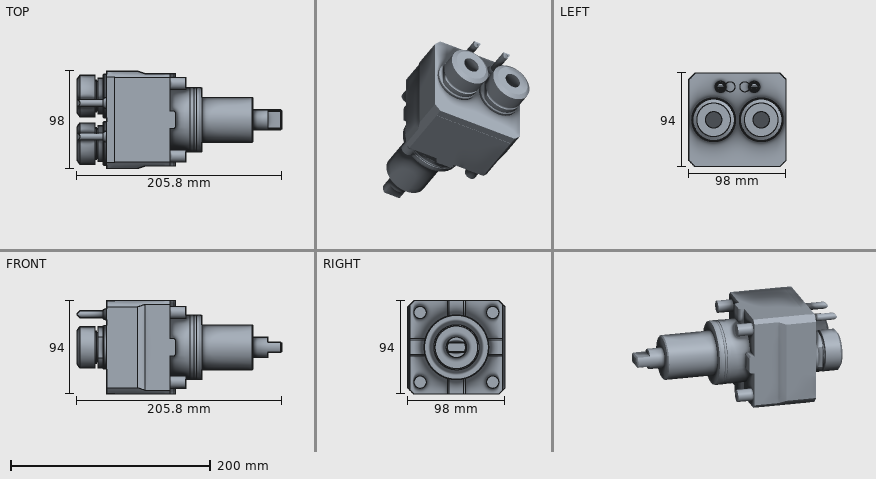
import cadquery as cq

length = 205.8

block_front = 29.8
block_rear = 93.6
block_width = 98.0
block_height = 94.0
block_chamfer = 6.4
side_step = 2.5
step_start = 61.0
step_end = 68.3
relief_end = 37.9
relief_depth = 0.2

key_width = 18.0
key_height = 5.4
key_chamfer = 1.6

screw_diameter = 12.3
screw_end = 109.3
screw_y = 36.5
screw_z = 35.0

flange_diameter = 65.0
flange_end = 125.5
pilot_end = 113.5
pilot_diameter = 64.6
seal_start = 117.3
seal_width = 2.9
flange_lead_in = 1.9
flange_lead_drop = 0.5

shank_diameter = 45.3
shank_end = 177.0
shank_chamfer = 1.2
drive_diameter = 20.5
tang_start = 191.8
tang_thickness = 10.7
tang_edge_chamfer = 0.6
tang_end_chamfer = 1.2

spindle_y = 23.9
nut_diameter = 41.8
nut_end = 18.3
nut_face_diameter = 33.8
nut_chamfer_length = 2.9
neck_diameter = 32.5
neck_step = 19.5
inner_neck_diameter = 29.8
disc_start = 21.0
disc_flats = 36.0
collar_start = 26.3
collar_diameter = 44.0
collar_chamfer = 0.8
bore_diameter = 16.5

pipe_y = 16.9
plug_y = 7.5
coolant_z = 33.1
pipe_diameter = 7.2
pipe_tip_height = 1.2
outlet_diameter = 3.3
outlet_drop = 2.0
outlet_depth = 1.6
ball_diameter = 11.3
ball_front = 26.3
plug_diameter = 10.0
plug_height = 0.2


def rod(start, end, diameter, y=0.0, z=0.0):
    """Cylinder along X."""
    return cq.Workplane("YZ", origin=(start, y, z)).circle(diameter / 2).extrude(end - start)


def block(start, end, width, height):
    """Box centred on the tool axis."""
    return cq.Workplane("YZ", origin=(start, 0, 0)).rect(width, height).extrude(end - start)


def make_head():
    wide = block_width / 2
    narrow = wide - side_step
    plan = [(block_front, wide), (step_start, wide), (step_end, narrow), (block_rear, narrow)]
    mirrored = [(x, -y) for x, y in reversed(plan)]
    head = (
        cq.Workplane("XY", origin=(0, 0, -block_height / 2))
        .polyline(plan + mirrored)
        .close()
        .extrude(block_height)
    )
    corner_prism = (
        block(block_front, block_rear, block_width, block_height)
        .edges("|X")
        .chamfer(block_chamfer)
    )
    head = head.intersect(corner_prism)
    relief = block(block_front, relief_end, block_width, block_height).cut(
        block(block_front, relief_end, block_width, block_height - 2 * relief_depth)
    )
    return head.cut(relief)


def make_keys():
    end = block_rear + key_height
    bar_y = block(block_rear, end, block_width - 2 * side_step, key_width)
    bar_z = block(block_rear, end, key_width, block_height)
    bar_y = bar_y.faces(">X").edges("|Y").chamfer(key_chamfer)
    bar_z = bar_z.faces(">X").edges("|Z").chamfer(key_chamfer)
    return bar_y.union(bar_z)


def make_screws():
    screws = cq.Workplane("XY")
    for y in (-screw_y, screw_y):
        for z in (-screw_z, screw_z):
            screws = screws.union(rod(block_rear, screw_end, screw_diameter, y, z))
    return screws


def make_shank():
    """Turned flange, shank and drive shaft, ending in a flat-sided tang."""
    flange = flange_diameter / 2
    pilot = pilot_diameter / 2
    shank = shank_diameter / 2
    drive = drive_diameter / 2
    seal_radius = seal_width / 2
    seal_floor = flange - seal_radius
    turned = (
        cq.Workplane("XY")
        .moveTo(block_rear, 0)
        .lineTo(block_rear, pilot)
        .lineTo(pilot_end, pilot)
        .lineTo(pilot_end, flange)
        .lineTo(seal_start, flange)
        .lineTo(seal_start, seal_floor)
        .threePointArc(
            (seal_start + seal_radius, flange),
            (seal_start + seal_width, seal_floor),
        )
        .lineTo(seal_start + seal_width, flange)
        .lineTo(flange_end - flange_lead_in, flange)
        .lineTo(flange_end, flange - flange_lead_drop)
        .lineTo(flange_end, shank)
        .lineTo(shank_end - shank_chamfer, shank)
        .lineTo(shank_end, shank - shank_chamfer)
        .lineTo(shank_end, drive)
        .lineTo(tang_start, drive)
        .lineTo(tang_start, 0)
        .close()
        .revolve(360, (0, 0, 0), (1, 0, 0))
    )
    tang = rod(tang_start, length, drive_diameter).intersect(
        block(tang_start, length, drive_diameter, tang_thickness)
    )
    tang = tang.edges("|X").chamfer(tang_edge_chamfer)
    tang = tang.faces(">X").edges().chamfer(tang_end_chamfer)
    return turned.union(tang)


def make_spindle(y):
    nut = nut_diameter / 2
    collar = collar_diameter / 2
    nose = (
        cq.Workplane("XY")
        .moveTo(0, bore_diameter / 2)
        .lineTo(0, nut_face_diameter / 2)
        .lineTo(nut_chamfer_length, nut)
        .lineTo(nut_end, nut)
        .lineTo(nut_end, neck_diameter / 2)
        .lineTo(neck_step, neck_diameter / 2)
        .lineTo(neck_step, inner_neck_diameter / 2)
        .lineTo(disc_start, inner_neck_diameter / 2)
        .lineTo(disc_start, nut)
        .lineTo(collar_start, nut)
        .lineTo(collar_start, collar - collar_chamfer)
        .lineTo(collar_start + collar_chamfer, collar)
        .lineTo(block_front, collar)
        .lineTo(block_front, bore_diameter / 2)
        .close()
        .revolve(360, (0, 0, 0), (1, 0, 0))
    )
    flats = block(disc_start, collar_start, nut_diameter, nut_diameter).cut(
        block(disc_start, collar_start, disc_flats, nut_diameter)
    )
    return nose.cut(flats).translate((0, y, 0))


def make_pipe(y):
    """Coolant pipe with a 45 degree chisel tip, held in a ball seated in the block."""
    radius = pipe_diameter / 2
    tip = pipe_tip_height / 2
    tip_length = radius - tip
    wedge = (
        cq.Workplane("XZ")
        .polyline(
            [
                (0, -tip),
                (0, tip),
                (tip_length, radius),
                (block_front, radius),
                (block_front, -radius),
                (tip_length, -radius),
            ]
        )
        .close()
        .extrude(radius, both=True)
    )
    pipe = rod(0, block_front, pipe_diameter).intersect(wedge)
    outlet = cq.Solid.makeCylinder(
        outlet_diameter / 2,
        outlet_depth,
        cq.Vector(outlet_drop - tip, 0, -outlet_drop),
        cq.Vector(1, 0, 1),
    )
    pipe = pipe.cut(cq.Workplane(outlet))
    ball = cq.Workplane("XY", origin=(block_front, 0, 0)).sphere(ball_diameter / 2)
    ball = ball.intersect(block(ball_front, block_front + ball_diameter, ball_diameter, ball_diameter))
    return pipe.union(ball).translate((0, y, coolant_z))


result = make_head().union(make_keys()).union(make_screws()).union(make_shank())
for side in (-1, 1):
    plug = rod(block_front - plug_height, block_front, plug_diameter, side * plug_y, coolant_z)
    result = result.union(make_spindle(side * spindle_y))
    result = result.union(plug)
    result = result.union(make_pipe(side * pipe_y))